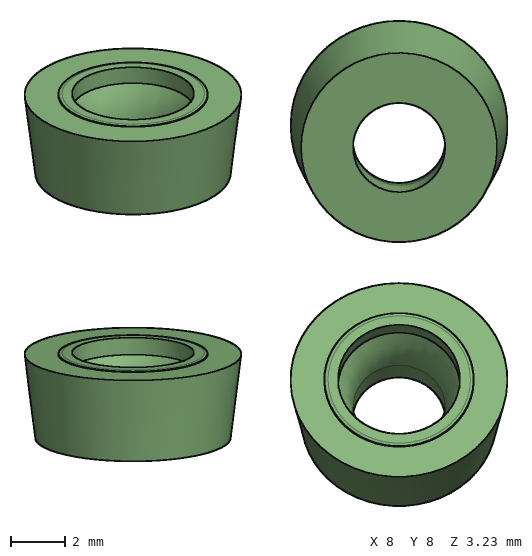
import cadquery as cq
import math

top_radius = 4.0
total_height = 3.23
land_height = 0.06
relief_angle = 7.0
land_base_radius = 2.76
land_shoulder_radius = 2.74
land_top_radius = 2.62
shoulder_drop = 0.03
bore_mouth_radius = 2.25
throat_radius = 1.7
mouth_depth = 0.65
throat_depth = 2.22

rake_height = total_height - land_height
bottom_radius = top_radius - rake_height * math.tan(math.radians(relief_angle))
seat_top = total_height - mouth_depth
seat_bottom = total_height - throat_depth

seat_width = bore_mouth_radius - throat_radius
seat_height = seat_top - seat_bottom
seat_arc_radius = (seat_width**2 + seat_height**2) / (2 * seat_width)
half_sweep = math.asin(seat_height / seat_arc_radius) / 2
seat_middle = (
    throat_radius + seat_arc_radius * (1 - math.cos(half_sweep)),
    seat_bottom + seat_arc_radius * math.sin(half_sweep),
)

shoulder_width = land_shoulder_radius - land_top_radius
shoulder_arc_radius = (shoulder_width**2 + shoulder_drop**2) / (2 * shoulder_drop)
shoulder_half_sweep = math.asin(shoulder_width / shoulder_arc_radius) / 2
shoulder_middle = (
    land_top_radius + shoulder_arc_radius * math.sin(shoulder_half_sweep),
    total_height - shoulder_arc_radius * (1 - math.cos(shoulder_half_sweep)),
)

section = (
    cq.Workplane("XZ")
    .moveTo(throat_radius, 0)
    .lineTo(bottom_radius, 0)
    .lineTo(top_radius, rake_height)
    .lineTo(land_base_radius, rake_height)
    .lineTo(land_shoulder_radius, total_height - shoulder_drop)
    .threePointArc(shoulder_middle, (land_top_radius, total_height))
    .lineTo(bore_mouth_radius, total_height)
    .lineTo(bore_mouth_radius, seat_top)
    .threePointArc(seat_middle, (throat_radius, seat_bottom))
    .close()
)

result = section.revolve(360, (0, 0, 0), (0, 1, 0))